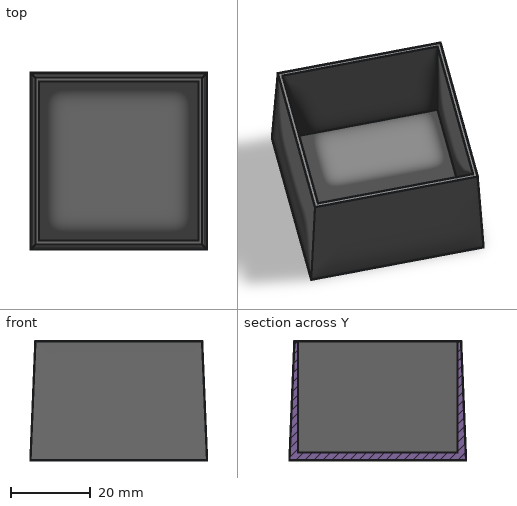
import cadquery as cq

base_side = 44.5
top_side = 42.0
height = 30.0
cavity_side = 40.0
floor_thickness = 2.0

body = (
    cq.Workplane("XY")
    .rect(base_side, base_side)
    .workplane(offset=height)
    .rect(top_side, top_side)
    .loft(ruled=True)
)

cavity = (
    cq.Workplane("XY")
    .workplane(offset=floor_thickness)
    .rect(cavity_side, cavity_side)
    .extrude(height - floor_thickness)
)

result = body.cut(cavity)